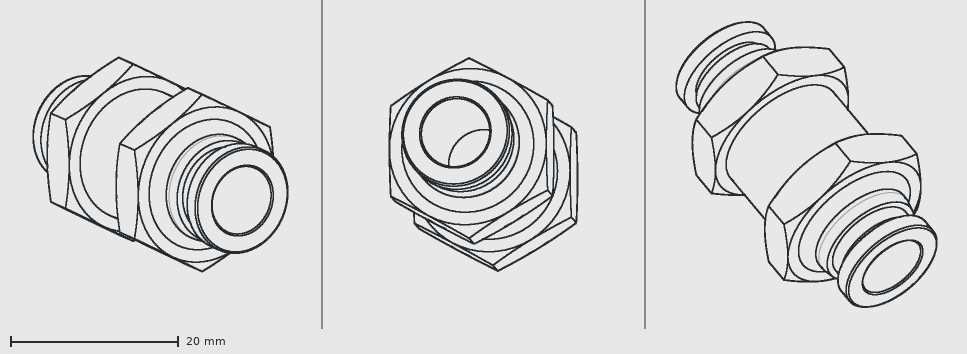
import cadquery as cq
import math

length = 37.0
half_length = length / 2

ring_radius = 6.5
ring_end = 2.0
ring_chamfer = 0.22

neck_radius = 4.85
neck_end = 2.92
sleeve_radius = 5.45
sleeve_end = 4.75

collar_front_radius = 6.2
collar_radius = 6.5
taper_end = 6.15
collar_end = 6.75

barrel_radius = 8.0
cone_end = collar_end + barrel_radius - collar_radius

across_flats = 19.0
across_corners = across_flats / math.cos(math.radians(30))
nut_start = cone_end
nut_width = 5.0
nut_chamfer_angle = 30.0

socket_radius = 4.15
socket_chamfer = 0.2
middle_wall = 0.95
socket_depth = half_length - middle_wall / 2


def revolve_about_x(points):
    """Turn a closed (x, radius) outline about the X axis."""
    return cq.Workplane("XY").polyline(points).close().revolve(360, (0, 0, 0), (1, 0, 0))


def half_body():
    """Turned body from the -X end to the middle plane."""
    outline = [
        (0, 0),
        (0, ring_radius - ring_chamfer),
        (ring_chamfer, ring_radius),
        (ring_end, ring_radius),
        (ring_end, neck_radius),
        (neck_end, neck_radius),
        (neck_end, sleeve_radius),
        (sleeve_end, sleeve_radius),
        (sleeve_end, collar_front_radius),
        (taper_end, collar_radius),
        (collar_end, collar_radius),
        (cone_end, barrel_radius),
        (half_length, barrel_radius),
        (half_length, 0),
    ]
    return revolve_about_x(outline).translate((-half_length, 0, 0))


def nut():
    """Hexagon nut on the -X side, with both faces chamfered down to a circle touching the flats."""
    hexagon = (
        cq.Workplane("YZ")
        .polygon(6, across_corners)
        .extrude(nut_width)
        .rotate((0, 0, 0), (1, 0, 0), 90)
    )
    face_radius = across_flats / 2
    corner_radius = across_corners / 2
    chamfer_depth = (corner_radius - face_radius) * math.tan(math.radians(nut_chamfer_angle))
    envelope = revolve_about_x([
        (0, 0),
        (0, face_radius),
        (chamfer_depth, corner_radius),
        (nut_width - chamfer_depth, corner_radius),
        (nut_width, face_radius),
        (nut_width, 0),
    ])
    return hexagon.intersect(envelope).translate((nut_start - half_length, 0, 0))


def socket():
    """Cutter for the blind socket in the -X end, with a chamfered mouth."""
    outline = [
        (0, 0),
        (0, socket_radius + socket_chamfer),
        (socket_chamfer, socket_radius),
        (socket_depth, socket_radius),
        (socket_depth, 0),
    ]
    return revolve_about_x(outline).translate((-half_length, 0, 0))


half = half_body().union(nut()).cut(socket())
result = half.union(half.mirror("YZ"))